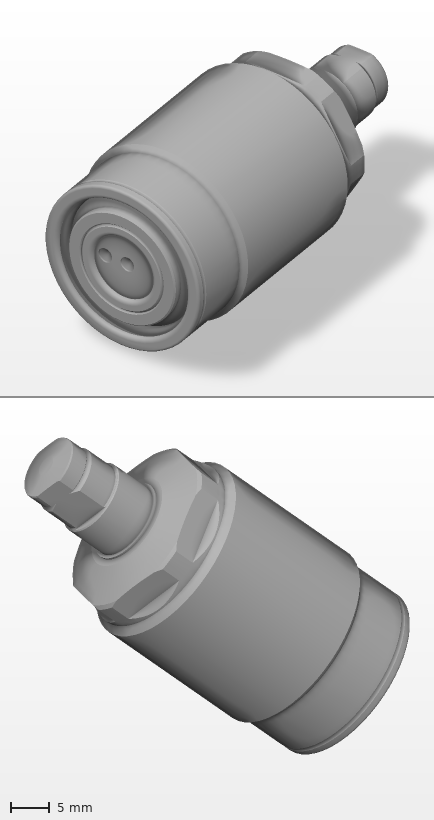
import cadquery as cq
import math

total_length = 53.5

sleeve_radius = 13.0
nose_radius = 12.2
nose_length = 9.1
sleeve_end_y = 33.0
sleeve_chamfer = 0.95
nose_edge_fillet = 0.4
groove_start_y = 1.05
groove_end_y = 1.7
groove_depth = 0.1

hex_corner_radius = 12.05
hex_flat_distance = 11.1
hex_flat_start_y = 34.25
hex_flat_count = 6
hex_cutter_reach = 5.35
hex_back_y = 39.05
hex_chamfer = 0.45
hex_cone_angle = 16.0
hex_cone_small_radius = 6.6

neck_radius = 5.15
neck_end_y = 45.55
neck_chamfer = 0.15
collar_radius = 5.6
collar_height = 0.3

mouth_radius = 10.2
mouth_fillet = 0.65
mouth_outer_radius = mouth_radius + mouth_fillet
shoulder_y = 1.7
shoulder_fillet = 0.65
socket_radius = 9.75
socket_depth = 9.1

ring_radius = 8.45
ring_edge_chamfer = 0.2
ring_bore_chamfer = 0.15
ring_cone_start_y = 1.35
ring_cone_angle = 45.0

core_radius = 6.55
core_chamfer = 0.3
core_lip_radius = 4.75
core_lip_fillet = 0.65
core_recess_radius = core_lip_radius + core_lip_fillet
core_recess_depth = 1.3
contact_hole_radius = 1.05
contact_hole_depth = 0.25
contact_tip_angle = 118.0
contact_hole_xs = (0.0, -3.5)

gland_radius = 4.75
gland_foot = 0.15
gland_end_y = 50.5
gland_chamfer = 0.6
nut_radius = 4.5
nut_edge_y = 52.95
nut_front_chamfer = 0.1
nut_edge_chamfer = 0.1
nut_edge_height = 0.2
nut_end_radius = 1.35
wrench_flat_distance = 4.0


def revolve_about_axis(profile):
    """Turn a closed (radius, axial position) profile once around the Y axis."""
    return profile.close().revolve(360, (0, 0, 0), (0, 1, 0))


def arc_inset(radius):
    """Distance of a rounded edge's midpoint from each of the two sides that it joins."""
    return radius * (1 - math.sqrt(0.5))


def cut_wrench_flats(body, y_start, y_end):
    """Mill two parallel flats, above and below the axis, over an axial stretch."""
    size = 2 * gland_radius
    length = y_end - y_start
    for side in (1, -1):
        block = cq.Workplane("XY").box(size, length, size)
        z_center = side * (wrench_flat_distance + size / 2)
        body = body.cut(block.translate((0, y_start + length / 2, z_center)))
    return body


def hex_cone_y(radius):
    """Axial position of the hexagon's conical back face at a radius."""
    return hex_back_y - (radius - hex_cone_small_radius) * math.tan(math.radians(hex_cone_angle))


def make_shell():
    """Sleeve with a rounded mouth, hexagon and neck, turned in one piece around a blind socket."""
    chamfer_radius = hex_corner_radius - hex_chamfer
    cone_edge_y = hex_cone_y(chamfer_radius)
    front_chamfer = sleeve_radius - nose_radius
    edge_mid = arc_inset(nose_edge_fillet)
    mouth_mid = arc_inset(mouth_fillet)
    shoulder_mid = arc_inset(shoulder_fillet)
    body = revolve_about_axis(
        cq.Workplane("XY")
        .moveTo(0, socket_depth)
        .lineTo(socket_radius, socket_depth)
        .lineTo(socket_radius, shoulder_y + shoulder_fillet)
        .threePointArc(
            (socket_radius + shoulder_mid, shoulder_y + shoulder_mid),
            (socket_radius + shoulder_fillet, shoulder_y))
        .lineTo(mouth_outer_radius, shoulder_y)
        .lineTo(mouth_outer_radius, mouth_fillet)
        .lineTo(mouth_radius, mouth_fillet)
        .threePointArc((mouth_radius + mouth_mid, mouth_mid), (mouth_outer_radius, 0))
        .lineTo(nose_radius - nose_edge_fillet, 0)
        .threePointArc((nose_radius - edge_mid, edge_mid), (nose_radius, nose_edge_fillet))
        .lineTo(nose_radius, groove_start_y)
        .threePointArc(
            (nose_radius - groove_depth, (groove_start_y + groove_end_y) / 2), (nose_radius, groove_end_y))
        .lineTo(nose_radius, nose_length)
        .lineTo(sleeve_radius, nose_length + front_chamfer)
        .lineTo(sleeve_radius, sleeve_end_y - sleeve_chamfer)
        .lineTo(hex_corner_radius, sleeve_end_y)
        .lineTo(hex_corner_radius, cone_edge_y - hex_chamfer)
        .lineTo(chamfer_radius, cone_edge_y)
        .lineTo(hex_cone_small_radius, hex_back_y)
        .lineTo(collar_radius, hex_back_y)
        .lineTo(collar_radius, hex_back_y + collar_height)
        .lineTo(neck_radius, hex_back_y + collar_height)
        .lineTo(neck_radius, neck_end_y - neck_chamfer)
        .lineTo(neck_radius - neck_chamfer, neck_end_y)
        .lineTo(0, neck_end_y)
    )
    flat_cutter = (
        cq.Workplane("YZ")
        .moveTo(hex_flat_start_y, hex_flat_distance)
        .lineTo(hex_back_y, hex_flat_distance)
        .lineTo(hex_back_y, hex_flat_distance + hex_cutter_reach)
        .lineTo(hex_flat_start_y - hex_cutter_reach, hex_flat_distance + hex_cutter_reach)
        .close()
        .extrude(hex_corner_radius, both=True)
    )
    for i in range(hex_flat_count):
        body = body.cut(flat_cutter.rotate((0, 0, 0), (0, 1, 0), i * 360 / hex_flat_count))
    return body


def make_ring():
    """Ring that fills the socket and tapers out to its wall."""
    cone_length = (socket_radius - ring_radius) / math.tan(math.radians(ring_cone_angle))
    return revolve_about_axis(
        cq.Workplane("XY")
        .moveTo(core_radius, ring_bore_chamfer)
        .lineTo(core_radius + ring_bore_chamfer, 0)
        .lineTo(ring_radius - ring_edge_chamfer, 0)
        .lineTo(ring_radius, ring_edge_chamfer)
        .lineTo(ring_radius, ring_cone_start_y)
        .lineTo(socket_radius, ring_cone_start_y + cone_length)
        .lineTo(socket_radius, socket_depth)
        .lineTo(core_radius, socket_depth)
    )


def make_core():
    """Core in the ring, with an undercut recess and two contact holes."""
    lip_mid = arc_inset(core_lip_fillet)
    body = revolve_about_axis(
        cq.Workplane("XY")
        .moveTo(0, core_recess_depth)
        .lineTo(core_recess_radius, core_recess_depth)
        .lineTo(core_recess_radius, core_lip_fillet)
        .lineTo(core_lip_radius, core_lip_fillet)
        .threePointArc((core_lip_radius + lip_mid, lip_mid), (core_recess_radius, 0))
        .lineTo(core_radius - core_chamfer, 0)
        .lineTo(core_radius, core_chamfer)
        .lineTo(core_radius, socket_depth)
        .lineTo(0, socket_depth)
    )
    tip_length = contact_hole_radius / math.tan(math.radians(contact_tip_angle / 2))
    hole_end_y = core_recess_depth + contact_hole_depth
    drill = revolve_about_axis(
        cq.Workplane("XY")
        .moveTo(0, 0)
        .lineTo(contact_hole_radius, 0)
        .lineTo(contact_hole_radius, hole_end_y)
        .lineTo(0, hole_end_y + tip_length)
    )
    for x in contact_hole_xs:
        body = body.cut(drill.translate((x, 0, 0)))
    return body


def make_gland():
    """Gland behind the neck, with two wrench flats."""
    body = revolve_about_axis(
        cq.Workplane("XY")
        .moveTo(0, neck_end_y)
        .lineTo(gland_radius + gland_foot, neck_end_y)
        .lineTo(gland_radius, neck_end_y + gland_foot)
        .lineTo(gland_radius, gland_end_y - gland_chamfer)
        .lineTo(gland_radius - gland_chamfer, gland_end_y)
        .lineTo(0, gland_end_y)
    )
    return cut_wrench_flats(body, neck_end_y, gland_end_y)


def make_cable_nut():
    """Nut at the cable end, with flats level with those of the gland."""
    body = revolve_about_axis(
        cq.Workplane("XY")
        .moveTo(0, gland_end_y)
        .lineTo(nut_radius - nut_front_chamfer, gland_end_y)
        .lineTo(nut_radius, gland_end_y + nut_front_chamfer)
        .lineTo(nut_radius, nut_edge_y)
        .lineTo(nut_radius - nut_edge_chamfer, nut_edge_y + nut_edge_height)
        .lineTo(nut_end_radius, total_length)
        .lineTo(0, total_length)
    )
    return cut_wrench_flats(body, gland_end_y, total_length)


shell = make_shell()
ring = make_ring()
core = make_core()
gland = make_gland()
cable_nut = make_cable_nut()
result = cq.Compound.makeCompound([shell.val(), ring.val(), core.val(), gland.val(), cable_nut.val()])